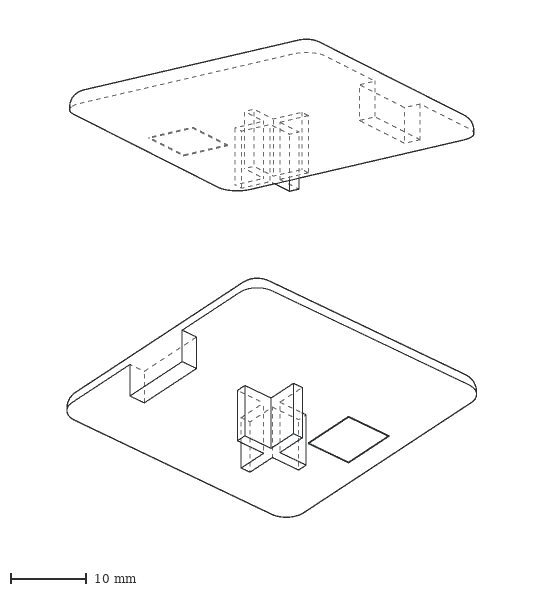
import cadquery as cq

plate_side = 40.0
plate_thickness = 2.5
corner_radius = 3.0
rim_radius = 2.0

stem_span = 10.6
stem_web = 1.5
stem_height = 8.0

tab_width = stem_span
tab_thickness = 2.5
tab_height = 5.0

pad_width = 8.15
pad_length = 6.95
pad_center_y = -13.3
pad_height = 0.1


def hanging_block(size_x, size_y, height, center_y=0.0):
    """Block hanging from the underside of the plate, centered in X."""
    return (
        cq.Workplane("XY")
        .center(0, center_y)
        .rect(size_x, size_y)
        .extrude(-height)
    )


plate = (
    cq.Workplane("XY")
    .rect(plate_side, plate_side)
    .extrude(plate_thickness)
    .edges("|Z")
    .fillet(corner_radius)
    .faces(">Z")
    .edges()
    .fillet(rim_radius)
)

stem = hanging_block(stem_span, stem_web, stem_height).union(
    hanging_block(stem_web, stem_span, stem_height)
)

tab_center_y = (plate_side - tab_thickness) / 2
tab = hanging_block(tab_width, tab_thickness, tab_height, tab_center_y)

pad = hanging_block(pad_width, pad_length, pad_height, pad_center_y)

result = plate.union(stem).union(tab).union(pad)